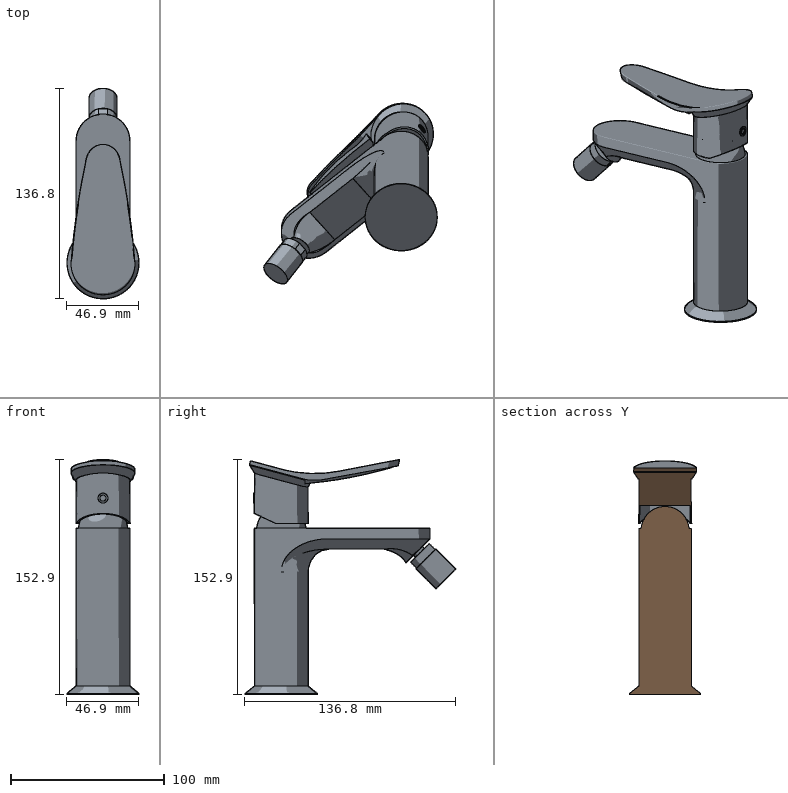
import cadquery as cq
import math


cutter_size = 76.4

column_radius = 17.5
foot_radius = 46.9 / 2
foot_edge_height = 1.2
foot_edge_bevel = 0.5
foot_height = 5.7
housing_top = 108.2
top_edge_radius = 0.5
dome_radius = 16.2
dome_center_height = 106.7

spout_end_center = 79.2
spout_tip = spout_end_center + column_radius
spout_side_bottom = 101.3
spout_bottom = 94.6
spout_bevel_width = 5.0
spout_edge_half_width = column_radius - spout_bevel_width
outlet_angle = 45.0
outlet_distance = 11.2
outlet_edge_depth = 15.7
outlet_depth = 22.2
outlet_half_width = 7.0
outlet_bend_start = 67.2
outlet_bend_half_width = 11.8
outlet_overlap = 3.0

bend_start = 30.5
bend_bottom = 79.8
bend_edge_end = 1.4
bend_crown = 0.2
bend_section_count = 7
bend_overrun = 0.1
bend_overlap = 1.4

nozzle_radius = 9.2
nozzle_barrel_length = 18.3
collar_length = 5.5
collar_radius = 9.0
collar_flat_distance = 8.5
neck_radius = 4.1
neck_length = 1.8

handle_bottom = 111.1
handle_bottom_radius = 17.7
handle_top_radius = 17.4
recess_radius = 16.7
relief_start = -3.2
relief_rise = 6.7
lever_tilt = 15.0
lever_top = 146.7
rim_depth = 2.9
head_radius = 20.8
head_cone_height = 4.5
head_cone_radius = 17.9
head_cone_shift = 2.0
lever_mid_station = 37.5
lever_mid_half_width = 16.4
lever_end_station = 62.4
lever_end_half_width = 11.3
lever_tip_station = 72.9
lever_edge_radius = 0.5
top_face_slope = 0.5
lever_top_bend = [(2.8, 146.0), (21.4, 143.8), (38.4, 145.5)]
lever_top_tip = (79.5, 153.5)
lever_bottom_bend = [(14.0, 140.1), (22.2, 139.4), (30.5, 140.5)]
lever_bottom_tip = (79.5, 149.3)
lever_overrun = 4.6
belly_sections = [
    (15.3, 141.4, 137.1, 18.6, 13.8),
    (41.3, 143.7, 140.5, 15.6, 12.2),
    (71.8, 149.0, 147.6, 8.0, 7.0),
]

screw_height = 127.8
screw_radius = 3.2
screw_socket_radius = 2.0
screw_face = 18.0
screw_socket_depth = 0.6


def side_extrusion(sketch, half_width):
    """Extrude a closed YZ outline to both sides of X = 0."""
    return sketch.extrude(half_width, both=True)


def block(y_start, y_end, bottom, top):
    """Box wider than the spout, between two Y positions and two heights."""
    return (
        cq.Workplane("XY", origin=(0, (y_start + y_end) / 2, bottom))
        .rect(cutter_size, y_end - y_start)
        .extrude(top - bottom)
    )


def slot_prism(bottom, top):
    """Outline of the column and spout together, between two heights."""
    return (
        cq.Workplane("XY", origin=(0, 0, bottom))
        .moveTo(column_radius, 0)
        .lineTo(column_radius, spout_end_center)
        .threePointArc((0, spout_tip), (-column_radius, spout_end_center))
        .lineTo(-column_radius, 0)
        .threePointArc((0, -column_radius), (column_radius, 0))
        .close()
        .extrude(top - bottom)
    )


def make_foot_and_column():
    """Round column below the bend, standing on its flared foot."""
    return (
        cq.Workplane("XZ")
        .moveTo(0, 0)
        .lineTo(foot_radius, 0)
        .lineTo(foot_radius, foot_edge_height - foot_edge_bevel)
        .lineTo(foot_radius - foot_edge_bevel, foot_edge_height)
        .lineTo(column_radius, foot_height)
        .lineTo(column_radius, bend_bottom)
        .lineTo(0, bend_bottom)
        .close()
        .revolve(360, (0, 0, 0), (0, 1, 0))
    )


def ellipse_reach(along_y, along_z, angle):
    """Distance from the center of an ellipse to its edge at the given angle from Y."""
    return along_y * along_z / math.hypot(along_z * math.cos(angle), along_y * math.sin(angle))


def bend_section(angle):
    """Section of the bend in a plane turned about the bend center, from the column to the spout."""
    side_reach = ellipse_reach(bend_start, spout_side_bottom - bend_bottom, angle)
    edge_reach = ellipse_reach(bend_start - bend_edge_end, spout_bottom - bend_bottom, angle)
    crown_reach = ellipse_reach(bend_start - column_radius, spout_bottom - bend_bottom - bend_crown, angle)
    column_edge = math.sqrt(column_radius**2 - bend_edge_end**2)
    edge_half_width = column_edge + (spout_edge_half_width - column_edge) * math.sin(angle)
    outer_reach = side_reach + bend_overrun * (side_reach - edge_reach)
    outer_half_width = column_radius + bend_overrun * (column_radius - edge_half_width)
    back_reach = side_reach + 2 * bend_overlap
    plane = cq.Plane(
        origin=(0, bend_start, bend_bottom),
        xDir=(0, -math.cos(angle), math.sin(angle)),
        normal=(0, math.sin(angle), math.cos(angle)),
    )
    return (
        cq.Workplane(plane)
        .moveTo(back_reach, outer_half_width)
        .lineTo(outer_reach, outer_half_width)
        .lineTo(edge_reach, edge_half_width)
        .threePointArc((crown_reach, 0), (edge_reach, -edge_half_width))
        .lineTo(outer_reach, -outer_half_width)
        .lineTo(back_reach, -outer_half_width)
        .close()
        .val()
    )


def make_bend():
    """Head of the column with the underside that sweeps from the column into the spout."""
    step = math.pi / 2 / (bend_section_count - 1)
    sections = [bend_section(index * step) for index in range(bend_section_count)]
    underside = cq.Workplane(cq.Solid.makeLoft(sections))
    hollow = side_extrusion(
        cq.Workplane("YZ", origin=(0, bend_start, bend_bottom)).ellipse(
            bend_start + bend_overlap, spout_side_bottom - bend_bottom + bend_overlap
        ),
        cutter_size,
    )
    web = block(-foot_radius, bend_start, bend_bottom, housing_top).cut(hollow)
    return web.union(underside).intersect(slot_prism(bend_bottom, housing_top))


def outlet_plane():
    """Plane of the outlet face, with its normal pointing out along the nozzle axis."""
    slope = math.radians(outlet_angle)
    return cq.Plane(
        origin=(
            0,
            spout_tip - outlet_distance * math.cos(slope),
            spout_side_bottom - outlet_distance * math.sin(slope),
        ),
        xDir=(1, 0, 0),
        normal=(0, math.sin(slope), -math.cos(slope)),
    )


def outlet_bend_center():
    """Point (Y, Z) about which the underside turns toward the outlet, on the outlet face."""
    drop = (spout_tip - outlet_bend_start) * math.tan(math.radians(outlet_angle))
    return outlet_bend_start, spout_side_bottom - drop


def outlet_bend_reaches(share):
    """Distances of the bevel edges and the crown from the bend center, at a share of the turn."""
    center_y, center_z = outlet_bend_center()
    start_reach = spout_bottom - center_z
    tip_reach = math.hypot(spout_tip - center_y, spout_side_bottom - center_z)
    edge_reach = start_reach + (tip_reach - outlet_edge_depth - start_reach) * share
    crown_start = start_reach - bend_crown
    crown_reach = crown_start + (tip_reach - outlet_depth - crown_start) * share
    return edge_reach, crown_reach


def outlet_edge_point(share):
    """Point (Y, Z) on the bevel edge of the outlet bend."""
    center_y, center_z = outlet_bend_center()
    angle = math.radians(outlet_angle) * share
    reach = outlet_bend_reaches(share)[0]
    return center_y + reach * math.sin(angle), center_z + reach * math.cos(angle)


def outlet_section(share, half_width):
    """Section of the crown under the spout tip, in a plane turned about the bend center."""
    angle = math.radians(outlet_angle) * share
    edge_reach, crown_reach = outlet_bend_reaches(share)
    plane = cq.Plane(
        origin=(0, *outlet_bend_center()),
        xDir=(0, math.sin(angle), math.cos(angle)),
        normal=(0, -math.cos(angle), math.sin(angle)),
    )
    return (
        cq.Workplane(plane)
        .moveTo(edge_reach + outlet_overlap, half_width)
        .lineTo(edge_reach, half_width)
        .threePointArc((crown_reach, 0), (edge_reach, -half_width))
        .lineTo(edge_reach + outlet_overlap, -half_width)
        .close()
        .val()
    )


def make_spout():
    """Spout with beveled sides, dropping under its tip to the slanted outlet face."""
    depth = outlet_depth * math.cos(math.radians(outlet_angle))
    slope = spout_bevel_width / (spout_side_bottom - spout_bottom)
    slab = (
        slot_prism(spout_side_bottom - depth, housing_top)
        .faces("<Z")
        .edges()
        .chamfer(depth, depth * slope)
        .intersect(block(bend_start, spout_tip, 0, housing_top))
    )
    below = side_extrusion(
        cq.Workplane("YZ")
        .moveTo(bend_start, bend_bottom)
        .lineTo(bend_start, spout_bottom)
        .lineTo(*outlet_edge_point(0))
        .threePointArc(outlet_edge_point(0.5), outlet_edge_point(1))
        .lineTo(spout_tip, bend_bottom)
        .close(),
        cutter_size,
    )
    sections = [
        outlet_section(0, spout_edge_half_width),
        outlet_section(0.5, outlet_bend_half_width),
        outlet_section(1, outlet_half_width),
    ]
    crown = cq.Workplane(cq.Solid.makeLoft(sections))
    beyond_outlet = cq.Workplane(outlet_plane()).rect(cutter_size, cutter_size)
    return slab.cut(below).union(crown).cut(beyond_outlet.extrude(cutter_size))


def make_dome():
    """Ball whose upper part rises from the housing into the handle."""
    return cq.Workplane("XY", origin=(0, 0, dome_center_height)).sphere(dome_radius)


def make_housing():
    body = make_foot_and_column().union(make_bend()).union(make_spout()).clean()
    body = body.faces(">Z").edges().fillet(top_edge_radius)
    return body.union(make_dome())


def make_nozzle():
    """Nozzle with its neck on the outlet face and two flats on its collar."""
    collar_start = neck_length + collar_length
    nozzle_end = collar_start + nozzle_barrel_length
    nozzle = (
        cq.Workplane("XY")
        .moveTo(0, 0)
        .lineTo(neck_radius, 0)
        .lineTo(neck_radius, neck_length)
        .lineTo(collar_radius, neck_length)
        .lineTo(collar_radius, collar_start)
        .lineTo(nozzle_radius, collar_start)
        .lineTo(nozzle_radius, nozzle_end)
        .lineTo(0, nozzle_end)
        .close()
        .revolve(360, (0, 0, 0), (0, 1, 0))
        .rotate((0, 0, 0), (1, 0, 0), 90)
    )
    for side in (-1, 1):
        nozzle = nozzle.cut(
            cq.Workplane("XY")
            .box(2 * nozzle_radius, nozzle_radius, collar_start, centered=(True, True, False))
            .translate((0, side * (collar_flat_distance + nozzle_radius / 2), 0))
        )
    return cq.Workplane(nozzle.val().moved(outlet_plane().location))


def lever_plane():
    tilt = math.radians(lever_tilt)
    return cq.Plane(
        origin=(0, 0, lever_top), xDir=(1, 0, 0), normal=(0, math.sin(tilt), math.cos(tilt))
    )


def top_border(lever):
    """Edges around the top surface of the lever, without those between its top faces."""
    top_faces = [face for face in lever.faces().vals() if face.normalAt().z > top_face_slope]
    top_edges = [edge for face in top_faces for edge in face.Edges()]
    return [edge for edge in top_edges if sum(edge.isSame(other) for other in top_edges) == 1]


def make_lever():
    outline = (
        cq.Workplane(lever_plane())
        .moveTo(head_radius, 0)
        .spline(
            [(lever_mid_half_width, lever_mid_station), (lever_end_half_width, lever_end_station)],
            includeCurrent=True,
        )
        .threePointArc((0, lever_tip_station), (-lever_end_half_width, lever_end_station))
        .spline([(-lever_mid_half_width, lever_mid_station), (-head_radius, 0)], includeCurrent=True)
        .threePointArc((0, -head_radius), (head_radius, 0))
        .close()
        .extrude(cutter_size, both=True)
    )
    rise = math.tan(math.radians(lever_tilt))
    back = -head_radius - lever_overrun
    top_back = (back, lever_top - back * rise)
    bottom_back = (back, lever_bottom_bend[0][1] + (lever_bottom_bend[0][0] - back) * rise)
    profile = (
        cq.Workplane("YZ")
        .polyline([top_back, lever_top_bend[0]])
        .threePointArc(lever_top_bend[1], lever_top_bend[2])
        .lineTo(*lever_top_tip)
        .lineTo(*lever_bottom_tip)
        .lineTo(*lever_bottom_bend[2])
        .threePointArc(lever_bottom_bend[1], lever_bottom_bend[0])
        .lineTo(*bottom_back)
        .close()
    )
    lever = side_extrusion(profile, cutter_size).intersect(outline)
    return lever.newObject(top_border(lever)).fillet(lever_edge_radius)


def make_belly():
    """Narrowing thickness under the lever, fading out toward its tip."""
    wires = []
    for y, top, bottom, top_half, bottom_half in belly_sections:
        corners = [(-top_half, top), (top_half, top), (bottom_half, bottom), (-bottom_half, bottom)]
        wires.append(cq.Wire.makePolygon([cq.Vector(x, y, z) for x, z in corners], close=True))
    return cq.Workplane(cq.Solid.makeLoft(wires))


def make_head_cone():
    """Leaning cone that joins the lever rim to the barrel."""
    return (
        cq.Workplane(lever_plane())
        .workplane(offset=-rim_depth)
        .circle(head_radius)
        .workplane(offset=-head_cone_height)
        .center(0, head_cone_shift)
        .circle(head_cone_radius)
        .loft()
    )


def make_handle_barrel():
    """Slightly tapered barrel with its top in the tilted plane and its back underside slanted."""
    barrel = cq.Workplane(
        cq.Solid.makeCone(
            handle_bottom_radius,
            handle_top_radius,
            lever_top - handle_bottom,
            cq.Vector(0, 0, handle_bottom),
        )
    )
    above = cq.Workplane(lever_plane()).workplane(offset=-rim_depth - head_cone_height / 2)
    barrel = barrel.cut(above.rect(cutter_size, cutter_size).extrude(cutter_size))
    relief = (
        cq.Workplane("YZ")
        .moveTo(relief_start, handle_bottom)
        .lineTo(-handle_bottom_radius, handle_bottom + relief_rise)
        .lineTo(-handle_bottom_radius - relief_rise, handle_bottom + relief_rise)
        .lineTo(-handle_bottom_radius - relief_rise, handle_bottom)
        .close()
    )
    return barrel.cut(side_extrusion(relief, cutter_size))


def make_screw_boss(radius, start, end):
    """Cylinder toward the back, between two distances from the column axis."""
    return (
        cq.Workplane("XZ", origin=(0, -start, screw_height)).circle(radius).extrude(end - start)
    )


def make_handle():
    handle = make_handle_barrel().union(make_head_cone()).union(make_lever()).union(make_belly())
    handle = handle.union(make_screw_boss(screw_radius, column_radius / 2, screw_face))
    handle = handle.cut(
        make_screw_boss(screw_socket_radius, screw_face - screw_socket_depth, screw_face)
    )
    recess = cq.Workplane("XY", origin=(0, 0, handle_bottom)).circle(recess_radius)
    return handle.cut(recess.extrude(dome_center_height + dome_radius - handle_bottom))


housing = make_housing()
nozzle = make_nozzle()
handle = make_handle()

result = cq.Compound.makeCompound([housing.val(), nozzle.val(), handle.val()])